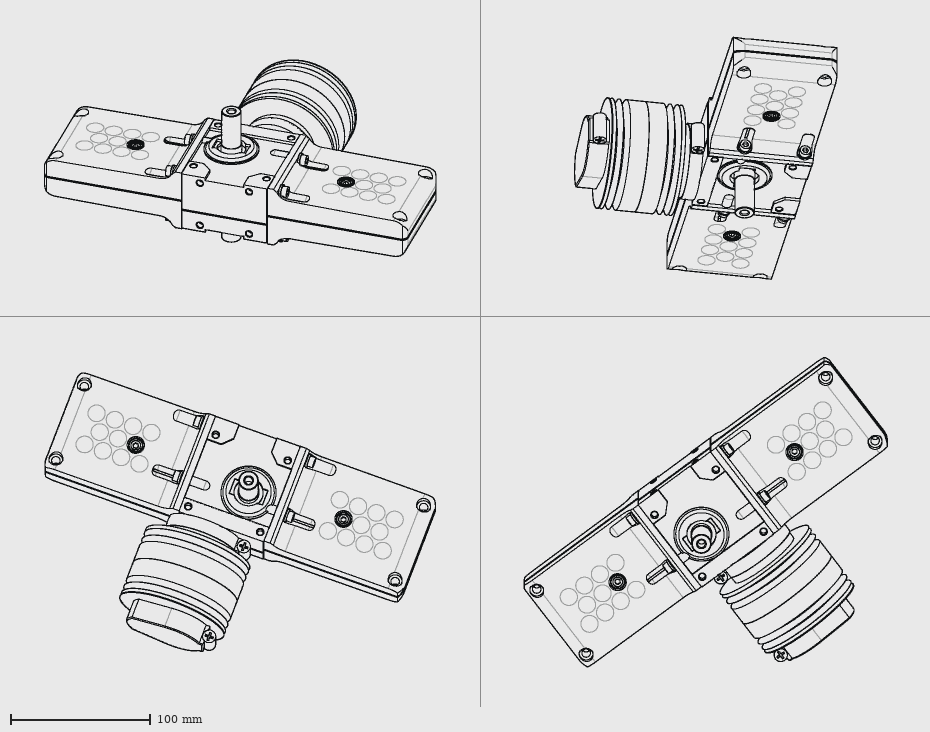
import cadquery as cq
import math

ASSEMBLY_LENGTH = 275.0
HOUSING_WIDTH = 65.0
HOUSING_DEPTH = 76.0
HOUSING_HALF_HEIGHT = 23.2
HANDLE_DEPTH = 75.5
SEAM_WIDTH = 0.8
SEAM_DEPTH = 0.5

HALF_LENGTH = ASSEMBLY_LENGTH / 2
HALF_HOUSING = HOUSING_WIDTH / 2

SHAFT_X = -9.4
SHAFT_Y = 44.9
SHAFT_LENGTH = 108.0
SHAFT_DIAMETER = 14.0
SHAFT_CHAMFER = 0.5
COLLAR_DIAMETER = 15.0
COLLAR_HALF_LENGTH = 26.2
SHAFT_HOLE_DIAMETER = 5.5
SHAFT_HOLE_COUNTERSINK = 7.0
SHAFT_HOLE_DEPTH = 12.0

FLOOR_HALF_HEIGHT = 21.0
HOUSING_EDGE_CHAMFER = 0.5
HOUSING_SEAM_Z = -7.6
REAR_PAD_FRONT_Y = 64.5
CORNER_PAD_WIDTH = 18.0
CORNER_PAD_DEPTH = 18.0
CORNER_PAD_CHAMFER = 7.0
COVER_SCREW_X = 27.6
COVER_SCREW_ROWS_Y = (13.0, 70.0)
FRONT_SCREW_X = 18.6
FRONT_SCREW_Z = 18.0
SCREW_HOLE_DIAMETER = 4.5
SCREW_HOLE_COUNTERSINK = 5.5
SCREW_HOLE_DEPTH = 5.0
BEARING_BOSS_DIAMETER = 39.6
BEARING_BOSS_SLOPE_DIAMETER = 37.0
BEARING_BOSS_TOP_DIAMETER = 32.6
BEARING_BOSS_RIM_HEIGHT = 1.0
BEARING_BOSS_TOP = 24.0
BEARING_POCKET_DIAMETER = 21.0
BEARING_POCKET_DEPTH = 4.0
WRENCH_SLOT_LENGTH = 25.4
WRENCH_SLOT_WIDTH = 11.6
WRENCH_SLOT_DEPTH = 2.0
BOLT_BOSS_DIAMETER = 8.0
BOLT_BOSS_LENGTH = 10.6

HANDLE_RIB_HALF_HEIGHT = 23.8
RIB_TOP_X = 37.2
RIB_SIDE_X = 39.7
RIB_SIDE_HALF_HEIGHT = 21.6
BLEND_START_X = 48.8
GRIP_INNER_HALF_HEIGHT = 16.0
GRIP_OUTER_HALF_HEIGHT = 15.2
END_ROUND_RADIUS = 9.7
REAR_CORNER = (2.6, 7.8)
FRONT_CORNER = (2.8, 4.0)
CORNER_BULGE = 0.4
MOUNT_HOLE_X = 130.0
MOUNT_HOLE_EDGE_DISTANCE = 8.25
MOUNT_HOLE_DIAMETER = 6.1
MOUNT_COUNTERBORE_DIAMETER = 10.0
MOUNT_COUNTERBORE_HALF_HEIGHT = 9.0

DIMPLE_DIAMETER = 12.4
DIMPLE_DEPTH = 0.5
DIMPLE_PITCH_X = 14.0
DIMPLE_PITCH_Y = 12.4
DIMPLE_CENTER_X = 93.6
DIMPLE_CENTER_Y = 38.0
PLUG_RING_DIAMETER = 10.5
PLUG_HEAD_DIAMETER = 9.5
PLUG_BORE_DIAMETER = 7.0
PLUG_SOCKET_DIAMETER = 4.13
PLUG_GROOVE_DEPTH = 1.0
PLUG_SOCKET_DEPTH = 3.0

BOLT_ROWS_Y = (7.0, 50.6)
BOLT_Z = 19.0
BOLT_POCKET_DIAMETER = 10.5
BOLT_POCKET_END_X = 62.2
BOLT_POCKET_END_ROUND = 3.5
BOLT_POCKET_FLOOR_X = 40.2
BOLT_HEAD_DIAMETER = 7.6
BOLT_WASHER_DIAMETER = 9.5
BOLT_WASHER_THICKNESS = 1.5
BOLT_HEAD_LENGTH = 5.5
BOLT_SOCKET_DIAMETER = 4.13
BOLT_SOCKET_DEPTH = 2.5
POCKET_GROOVE_WIDTH = 1.6
POCKET_GROOVE_DEPTH = 0.5

BELLOWS_X = 12.4
BELLOWS_RADIUS = 40.0
VALLEY_RADIUS = 29.0
TIP_WIDTH = 0.2
NECK_RADIUS = 26.5
CLAMP_RING_RADIUS = 27.4
CLAMP_RING_END_Y = 85.4
LOWER_FLANGE_Y = 91.2
LOWER_TIPS_Y = (94.0, 99.3)
DRUM_START_Y = 104.3
DRUM_END_Y = 131.4
UPPER_TIPS_Y = (136.6, 141.7)
UPPER_FLANGE_Y = 144.3
UPPER_FLANGE_END_Y = 145.0
CUFF_END_Y = 160.0
DRUM_SEAM_DEPTH = 0.1
DRUM_SEAM_WIDTH = 0.2

CUFF_RADIUS = 22.5
CUFF_ARC_X = 6.4
CUFF_NOSE_RADIUS = 29.6
CUFF_FLANK_END_X = 37.6
CUFF_CHAMFER = 0.8
LUG_X = -16.8
LUG_HALF_HEIGHT = 9.6
CLAMP_SCREW_X = -19.0
CLAMP_SCREW_DIAMETER = 9.5
CLAMP_SCREW_LENGTH = 20.6
LOWER_CLAMP_SCREW_Y = 80.8
UPPER_CLAMP_SCREW_Y = 152.4
CROSS_SLOT_LENGTH = 6.0
CROSS_SLOT_WIDTH = 1.2
CROSS_SLOT_DEPTH = 1.5


def block(x_range, y_range, z_range):
    """Axis-aligned box between two limits on each axis."""
    limits = (x_range, y_range, z_range)
    sizes = [high - low for low, high in limits]
    corner = cq.Vector(*[low for low, high in limits])
    return cq.Workplane(cq.Solid.makeBox(*sizes, corner))


def rod(diameter, length, start, direction):
    """Solid cylinder from a start point along a direction."""
    return cq.Workplane(cq.Solid.makeCylinder(diameter / 2, length, cq.Vector(*start), cq.Vector(*direction)))


def cone(start_diameter, end_diameter, length, start, direction):
    """Solid cone or truncated cone from a start point along a direction."""
    return cq.Workplane(cq.Solid.makeCone(
        start_diameter / 2, end_diameter / 2, length, cq.Vector(*start), cq.Vector(*direction)))


def ball(diameter, center):
    """Sphere with its poles along Y."""
    return cq.Workplane("XZ", origin=center).sphere(diameter / 2)


def both_faces(upper):
    """An upper feature together with its mirror image below the XY plane."""
    return upper.union(upper.mirror("XY"))


def countersunk_drill(diameter, countersink, depth, mouth, direction):
    """Blind hole cutter with a 45 degree countersink and a conical bottom."""
    bottom = [m + depth * d for m, d in zip(mouth, direction)]
    drill = rod(diameter, depth, mouth, direction)
    point = cone(diameter, 0, diameter / 2, bottom, direction)
    sink = cone(countersink, diameter, (countersink - diameter) / 2, mouth, direction)
    return drill.union(point).union(sink)


def make_shaft():
    shaft = rod(SHAFT_DIAMETER, SHAFT_LENGTH, (SHAFT_X, SHAFT_Y, -SHAFT_LENGTH / 2), (0, 0, 1))
    shaft = shaft.faces("<Z or >Z").chamfer(SHAFT_CHAMFER)
    collar = rod(COLLAR_DIAMETER, 2 * COLLAR_HALF_LENGTH, (SHAFT_X, SHAFT_Y, -COLLAR_HALF_LENGTH), (0, 0, 1))
    center_hole = countersunk_drill(
        SHAFT_HOLE_DIAMETER, SHAFT_HOLE_COUNTERSINK, SHAFT_HOLE_DEPTH,
        (SHAFT_X, SHAFT_Y, SHAFT_LENGTH / 2), (0, 0, -1))
    return shaft.union(collar).cut(both_faces(center_hole))


def raised_pads():
    """Rear bar and two front corner plates standing above the housing floor."""
    pad_height = HOUSING_HALF_HEIGHT - FLOOR_HALF_HEIGHT
    z_range = (FLOOR_HALF_HEIGHT, HOUSING_HALF_HEIGHT)
    pads = block((-HALF_HOUSING, HALF_HOUSING), (REAR_PAD_FRONT_Y, HOUSING_DEPTH), z_range)
    inner_x = HALF_HOUSING - CORNER_PAD_WIDTH
    corner = (
        cq.Workplane("XY", origin=(0, 0, FLOOR_HALF_HEIGHT))
        .moveTo(HALF_HOUSING, 0)
        .lineTo(inner_x, 0)
        .lineTo(inner_x, CORNER_PAD_DEPTH - CORNER_PAD_CHAMFER)
        .lineTo(inner_x + CORNER_PAD_CHAMFER, CORNER_PAD_DEPTH)
        .lineTo(HALF_HOUSING, CORNER_PAD_DEPTH)
        .close()
        .extrude(pad_height)
    )
    return pads.union(corner).union(corner.mirror("YZ"))


def bearing_boss():
    """Stepped round boss with a sloped flank around the shaft."""
    rim_top = FLOOR_HALF_HEIGHT + BEARING_BOSS_RIM_HEIGHT
    base = (SHAFT_X, SHAFT_Y, FLOOR_HALF_HEIGHT)
    rim = rod(BEARING_BOSS_DIAMETER, BEARING_BOSS_RIM_HEIGHT, base, (0, 0, 1))
    slope = cone(BEARING_BOSS_SLOPE_DIAMETER, BEARING_BOSS_TOP_DIAMETER, BEARING_BOSS_TOP - rim_top,
                 (SHAFT_X, SHAFT_Y, rim_top), (0, 0, 1))
    return rim.union(slope)


def bearing_pocket():
    """Round pocket with a cross slot around the shaft collar."""
    mouth = (SHAFT_X, SHAFT_Y, BEARING_BOSS_TOP)
    pocket = rod(BEARING_POCKET_DIAMETER, BEARING_POCKET_DEPTH, mouth, (0, 0, -1))
    slot = block(
        (SHAFT_X - WRENCH_SLOT_LENGTH / 2, SHAFT_X + WRENCH_SLOT_LENGTH / 2),
        (SHAFT_Y - WRENCH_SLOT_WIDTH / 2, SHAFT_Y + WRENCH_SLOT_WIDTH / 2),
        (BEARING_BOSS_TOP - WRENCH_SLOT_DEPTH, BEARING_BOSS_TOP))
    return pocket.union(slot)


def bolt_boss():
    """Round-ended bulge on the right edge that takes the rear handle bolt."""
    end_x = HALF_HOUSING - BOLT_BOSS_LENGTH
    start = (end_x, BOLT_ROWS_Y[1], BOLT_Z)
    return rod(BOLT_BOSS_DIAMETER, BOLT_BOSS_LENGTH, start, (1, 0, 0)).union(ball(BOLT_BOSS_DIAMETER, start))


def make_housing():
    housing = block(
        (-HALF_HOUSING, HALF_HOUSING), (0, HOUSING_DEPTH), (-FLOOR_HALF_HEIGHT, FLOOR_HALF_HEIGHT))
    housing = housing.union(both_faces(raised_pads()))
    housing = housing.edges("|Z").edges("<X or >X").chamfer(HOUSING_EDGE_CHAMFER)
    boss = bolt_boss()
    housing = housing.union(both_faces(boss.union(boss.mirror("YZ"))))
    housing = housing.union(both_faces(bearing_boss())).cut(both_faces(bearing_pocket()))
    housing = housing.cut(rod(
        COLLAR_DIAMETER, 2 * BEARING_BOSS_TOP, (SHAFT_X, SHAFT_Y, -BEARING_BOSS_TOP), (0, 0, 1)))

    seam_z = (HOUSING_SEAM_Z - SEAM_WIDTH / 2, HOUSING_SEAM_Z + SEAM_WIDTH / 2)
    for seam_y in ((0, SEAM_DEPTH), (HOUSING_DEPTH - SEAM_DEPTH, HOUSING_DEPTH)):
        housing = housing.cut(block((-HALF_HOUSING, HALF_HOUSING), seam_y, seam_z))

    for side in (-1, 1):
        for row_y in COVER_SCREW_ROWS_Y:
            cover_hole = countersunk_drill(
                SCREW_HOLE_DIAMETER, SCREW_HOLE_COUNTERSINK, SCREW_HOLE_DEPTH,
                (side * COVER_SCREW_X, row_y, HOUSING_HALF_HEIGHT), (0, 0, -1))
            housing = housing.cut(both_faces(cover_hole))
        front_hole = countersunk_drill(
            SCREW_HOLE_DIAMETER, SCREW_HOLE_COUNTERSINK, SCREW_HOLE_DEPTH,
            (side * FRONT_SCREW_X, 0, FRONT_SCREW_Z), (0, 1, 0))
        housing = housing.cut(both_faces(front_hole))
    return housing


def grip_half_height(x):
    """Height of the tapered grip surface above the XY plane."""
    outer_x = HALF_LENGTH - END_ROUND_RADIUS
    share = (x - BLEND_START_X) / (outer_x - BLEND_START_X)
    return GRIP_INNER_HALF_HEIGHT + share * (GRIP_OUTER_HALF_HEIGHT - GRIP_INNER_HALF_HEIGHT)


def handle_blank():
    """Right handle: tall rib next to the housing, concave blend, tapered grip and rounded end."""
    blend_run = BLEND_START_X - RIB_SIDE_X
    blend_rise = RIB_SIDE_HALF_HEIGHT - GRIP_INNER_HALF_HEIGHT
    blend_radius = (blend_run ** 2 + blend_rise ** 2) / (2 * blend_rise)
    blend_mid_angle = math.asin(blend_run / blend_radius) / 2
    blend_mid = (
        BLEND_START_X - blend_radius * math.sin(blend_mid_angle),
        GRIP_INNER_HALF_HEIGHT + blend_radius * (1 - math.cos(blend_mid_angle)))

    round_x = HALF_LENGTH - END_ROUND_RADIUS
    round_z = GRIP_OUTER_HALF_HEIGHT - END_ROUND_RADIUS
    round_mid = (
        round_x + END_ROUND_RADIUS * math.cos(math.pi / 4),
        round_z + END_ROUND_RADIUS * math.sin(math.pi / 4))
    upper_half = (
        cq.Workplane("XZ")
        .moveTo(HALF_HOUSING, 0)
        .lineTo(HALF_HOUSING, HANDLE_RIB_HALF_HEIGHT)
        .lineTo(RIB_TOP_X, HANDLE_RIB_HALF_HEIGHT)
        .lineTo(RIB_SIDE_X, RIB_SIDE_HALF_HEIGHT)
        .threePointArc(blend_mid, (BLEND_START_X, GRIP_INNER_HALF_HEIGHT))
        .lineTo(round_x, GRIP_OUTER_HALF_HEIGHT)
        .threePointArc(round_mid, (HALF_LENGTH, round_z))
        .lineTo(HALF_LENGTH, 0)
        .close()
        .extrude(-HANDLE_DEPTH)
    )
    return both_faces(upper_half)


def end_corner_cutter(corner, edge_y, inward):
    """Wedge with a bulged face that eases one vertical end corner."""
    run_x, run_y = corner
    return (
        cq.Workplane("XY", origin=(0, 0, -GRIP_INNER_HALF_HEIGHT))
        .moveTo(HALF_LENGTH, edge_y + inward * run_y)
        .threePointArc(
            (HALF_LENGTH - run_x * CORNER_BULGE, edge_y + inward * run_y * CORNER_BULGE),
            (HALF_LENGTH - run_x, edge_y))
        .lineTo(HALF_LENGTH, edge_y)
        .close()
        .extrude(2 * GRIP_INNER_HALF_HEIGHT)
    )


def dimple_positions():
    """Rows of four, three and four dimples; the innermost of the middle row holds a plug."""
    for row, count in ((-1, 4), (0, 3), (1, 4)):
        for column in range(count):
            offset = (column - (count - 1) / 2) * DIMPLE_PITCH_X
            is_plug = row == 0 and column == 0
            yield DIMPLE_CENTER_X + offset, DIMPLE_CENTER_Y + row * DIMPLE_PITCH_Y, is_plug


def dimple_cutter(x, y):
    """Shallow spherical dish."""
    sphere_radius = ((DIMPLE_DIAMETER / 2) ** 2 + DIMPLE_DEPTH ** 2) / (2 * DIMPLE_DEPTH)
    return ball(2 * sphere_radius, (x, y, grip_half_height(x) + sphere_radius - DIMPLE_DEPTH))


def plug_cutter(x, y):
    """Flat recess with a ring groove around a plug head that has a stepped hexagon socket."""
    surface_z = grip_half_height(x)
    top = surface_z - DIMPLE_DEPTH
    mouth = (x, y, top)
    down = (0, 0, -1)
    recess = rod(DIMPLE_DIAMETER, GRIP_INNER_HALF_HEIGHT, mouth, (0, 0, 1))
    ring = rod(PLUG_RING_DIAMETER, PLUG_GROOVE_DEPTH, mouth, down)
    ring = ring.cut(rod(PLUG_HEAD_DIAMETER, PLUG_GROOVE_DEPTH, mouth, down))
    bore = rod(PLUG_BORE_DIAMETER, PLUG_GROOVE_DEPTH, mouth, down)
    socket = (
        cq.Workplane("XY", origin=mouth)
        .polygon(6, PLUG_SOCKET_DIAMETER)
        .extrude(-PLUG_SOCKET_DEPTH)
    )
    return recess.union(ring).union(bore).union(socket)


def bolt_pocket(row_y):
    """Round-ended trough for a bolt, open upward and to the blend."""
    start = (BOLT_POCKET_FLOOR_X, row_y, BOLT_Z)
    pocket = rod(BOLT_POCKET_DIAMETER, BOLT_POCKET_END_X - BOLT_POCKET_FLOOR_X, start, (1, 0, 0))
    return pocket.faces(">X").edges().fillet(BOLT_POCKET_END_ROUND)


def bolt_head(row_y):
    """Cylindrical bolt head with a washer collar and a hexagon socket, joined to the pocket floor."""
    start = (BOLT_POCKET_FLOOR_X, row_y, BOLT_Z)
    head = rod(BOLT_HEAD_DIAMETER, BOLT_HEAD_LENGTH, start, (1, 0, 0))
    head = head.union(rod(BOLT_WASHER_DIAMETER, BOLT_WASHER_THICKNESS, start, (1, 0, 0)))
    head_end_x = BOLT_POCKET_FLOOR_X + BOLT_HEAD_LENGTH
    socket = (
        cq.Workplane("YZ", origin=(head_end_x, row_y, BOLT_Z))
        .polygon(6, BOLT_SOCKET_DIAMETER)
        .extrude(-BOLT_SOCKET_DEPTH)
    )
    return head.cut(socket)


def pocket_groove(row_y):
    """Narrow groove along the bottom of a bolt pocket."""
    floor_z = BOLT_Z - BOLT_POCKET_DIAMETER / 2
    return block(
        (BOLT_POCKET_FLOOR_X + BOLT_HEAD_LENGTH, BOLT_POCKET_END_X - POCKET_GROOVE_DEPTH),
        (row_y - POCKET_GROOVE_WIDTH / 2, row_y + POCKET_GROOVE_WIDTH / 2),
        (floor_z - POCKET_GROOVE_DEPTH, BOLT_Z))


def handle_seam():
    """Groove at mid height along the front, the end and the rear of the handle."""
    seam_z = (-SEAM_WIDTH / 2, SEAM_WIDTH / 2)
    outside = block((HALF_HOUSING, HALF_LENGTH), (0, HANDLE_DEPTH), seam_z)
    core = block(
        (HALF_HOUSING, HALF_LENGTH - SEAM_DEPTH), (SEAM_DEPTH, HANDLE_DEPTH - SEAM_DEPTH), seam_z)
    core = core.cut(end_corner_cutter(FRONT_CORNER, 0, 1).translate((-SEAM_DEPTH, SEAM_DEPTH, 0)))
    core = core.cut(end_corner_cutter(REAR_CORNER, HANDLE_DEPTH, -1).translate((-SEAM_DEPTH, -SEAM_DEPTH, 0)))
    return outside.cut(core)


def mounting_hole(row_y):
    """Through hole counterbored from above and below."""
    hole = rod(MOUNT_HOLE_DIAMETER, GRIP_INNER_HALF_HEIGHT, (MOUNT_HOLE_X, row_y, 0), (0, 0, 1))
    counterbore = rod(MOUNT_COUNTERBORE_DIAMETER, GRIP_INNER_HALF_HEIGHT,
                      (MOUNT_HOLE_X, row_y, MOUNT_COUNTERBORE_HALF_HEIGHT), (0, 0, 1))
    return both_faces(hole.union(counterbore))


def make_right_handle():
    handle = handle_blank()
    handle = handle.cut(end_corner_cutter(FRONT_CORNER, 0, 1))
    handle = handle.cut(end_corner_cutter(REAR_CORNER, HANDLE_DEPTH, -1))
    handle = handle.cut(handle_seam())
    for row_y in (MOUNT_HOLE_EDGE_DISTANCE, HANDLE_DEPTH - MOUNT_HOLE_EDGE_DISTANCE):
        handle = handle.cut(mounting_hole(row_y))
    for x, y, is_plug in dimple_positions():
        cutter = plug_cutter(x, y) if is_plug else dimple_cutter(x, y)
        handle = handle.cut(cutter).cut(cutter.mirror("XY"))
    handle = handle.cut(both_faces(pocket_groove(BOLT_ROWS_Y[1])))
    for row_y in BOLT_ROWS_Y:
        handle = handle.cut(both_faces(bolt_pocket(row_y)))
        handle = handle.union(both_faces(bolt_head(row_y)))
    return handle


def pleat_points(tips_y, first_valley_y, last_valley_y):
    """Radius and Y of a run of narrow-tipped pleats between two valleys."""
    valleys = [(low + high) / 2 for low, high in zip(tips_y, tips_y[1:])] + [last_valley_y]
    points = [(VALLEY_RADIUS, first_valley_y)]
    for tip_y, next_valley_y in zip(tips_y, valleys):
        points.append((BELLOWS_RADIUS, tip_y - TIP_WIDTH / 2))
        points.append((BELLOWS_RADIUS, tip_y + TIP_WIDTH / 2))
        points.append((VALLEY_RADIUS, next_valley_y))
    return points


def bellows_body():
    """Clamp ring, neck, pleats, drum and end flange turned about the bellows axis."""
    lower_valley_y = (LOWER_TIPS_Y[-1] + DRUM_START_Y) / 2
    upper_valley_y = (DRUM_END_Y + UPPER_TIPS_Y[0]) / 2
    last_valley_y = (UPPER_TIPS_Y[-1] + UPPER_FLANGE_Y) / 2
    drum_mid_y = (DRUM_START_Y + DRUM_END_Y) / 2
    outline = [
        (0, HOUSING_DEPTH),
        (CLAMP_RING_RADIUS, HOUSING_DEPTH),
        (CLAMP_RING_RADIUS, CLAMP_RING_END_Y),
        (NECK_RADIUS, CLAMP_RING_END_Y),
        (NECK_RADIUS, LOWER_FLANGE_Y - TIP_WIDTH / 2),
        (BELLOWS_RADIUS, LOWER_FLANGE_Y - TIP_WIDTH / 2),
        (BELLOWS_RADIUS, LOWER_FLANGE_Y),
        *pleat_points(LOWER_TIPS_Y, (LOWER_FLANGE_Y + LOWER_TIPS_Y[0]) / 2, lower_valley_y),
        (BELLOWS_RADIUS, DRUM_START_Y),
        (BELLOWS_RADIUS, drum_mid_y - DRUM_SEAM_WIDTH / 2),
        (BELLOWS_RADIUS - DRUM_SEAM_DEPTH, drum_mid_y),
        (BELLOWS_RADIUS, drum_mid_y + DRUM_SEAM_WIDTH / 2),
        (BELLOWS_RADIUS, DRUM_END_Y),
        *pleat_points(UPPER_TIPS_Y, upper_valley_y, last_valley_y),
        (BELLOWS_RADIUS, UPPER_FLANGE_Y),
        (BELLOWS_RADIUS, UPPER_FLANGE_END_Y),
        (0, UPPER_FLANGE_END_Y),
    ]
    turned = cq.Workplane("XY").polyline(outline).close().revolve(360, (0, 0, 0), (0, 1, 0))
    return turned.translate((BELLOWS_X, 0, 0))


def end_cuff():
    """Clamp cuff: round back, two converging flanks, rounded nose and a flat lug side."""
    flank_x = BELLOWS_X
    flank_angle = math.asin((flank_x - CUFF_ARC_X) / CUFF_RADIUS)
    flank_z = CUFF_RADIUS * math.cos(flank_angle)
    nose_z = flank_z - (CUFF_FLANK_END_X - flank_x) * math.tan(flank_angle)
    lug_corner_x = CUFF_ARC_X - math.sqrt(CUFF_RADIUS ** 2 - LUG_HALF_HEIGHT ** 2)
    back_mid_angle = math.pi / 4
    back_mid = (CUFF_ARC_X - CUFF_RADIUS * math.cos(back_mid_angle), CUFF_RADIUS * math.sin(back_mid_angle))
    return (
        cq.Workplane("XZ", origin=(0, UPPER_FLANGE_END_Y, 0))
        .moveTo(lug_corner_x, LUG_HALF_HEIGHT)
        .threePointArc(back_mid, (flank_x, flank_z))
        .lineTo(CUFF_FLANK_END_X, nose_z)
        .threePointArc((BELLOWS_X + CUFF_NOSE_RADIUS, 0), (CUFF_FLANK_END_X, -nose_z))
        .lineTo(flank_x, -flank_z)
        .threePointArc((back_mid[0], -back_mid[1]), (lug_corner_x, -LUG_HALF_HEIGHT))
        .lineTo(LUG_X, -LUG_HALF_HEIGHT)
        .lineTo(LUG_X, LUG_HALF_HEIGHT)
        .close()
        .extrude(UPPER_FLANGE_END_Y - CUFF_END_Y)
        .faces(">Y")
        .chamfer(CUFF_CHAMFER)
    )


def clamp_screw(y):
    """Clamp screw parallel to the shaft with a cross slot in both ends."""
    half_length = CLAMP_SCREW_LENGTH / 2
    screw = rod(CLAMP_SCREW_DIAMETER, CLAMP_SCREW_LENGTH, (CLAMP_SCREW_X, y, -half_length), (0, 0, 1))
    slots = (
        cq.Workplane("XY", origin=(CLAMP_SCREW_X, y, half_length))
        .rect(CROSS_SLOT_LENGTH, CROSS_SLOT_WIDTH)
        .extrude(-CROSS_SLOT_DEPTH)
        .union(
            cq.Workplane("XY", origin=(CLAMP_SCREW_X, y, half_length))
            .rect(CROSS_SLOT_WIDTH, CROSS_SLOT_LENGTH)
            .extrude(-CROSS_SLOT_DEPTH))
    )
    return screw.cut(both_faces(slots))


def make_bellows():
    bellows = bellows_body().union(end_cuff())
    lower_lug = block(
        (LUG_X, BELLOWS_X), (HOUSING_DEPTH, CLAMP_RING_END_Y), (-LUG_HALF_HEIGHT, LUG_HALF_HEIGHT))
    bellows = bellows.union(lower_lug)
    for screw_y in (LOWER_CLAMP_SCREW_Y, UPPER_CLAMP_SCREW_Y):
        bellows = bellows.union(clamp_screw(screw_y))
    return bellows


shaft = make_shaft()
housing = make_housing()
right_handle = make_right_handle()
left_handle = right_handle.mirror("YZ")
bellows = make_bellows()

result = cq.Compound.makeCompound([
    housing.solids().val(),
    shaft.solids().val(),
    left_handle.solids().val(),
    right_handle.solids().val(),
    bellows.solids().val(),
])